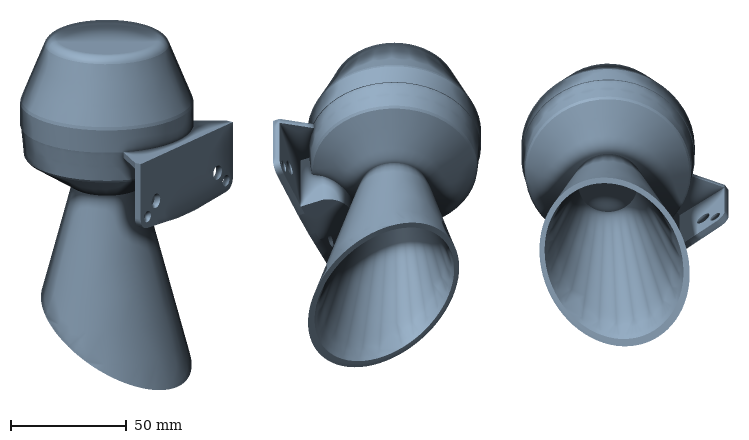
import cadquery as cq
import math

height = 152.1
rim_radius = 75.0 / 2

cap_flat_radius = 22.2
cap_shoulder_radius = 26.9
cap_shoulder_z = 149.2
cap_base_radius = 37.1
cap_base_z = 124.0
rim_top_z = 122.6
rim_bottom_z = 112.4

bowl_top_radius = 74.4 / 2
bowl_bottom_radius = 35.9
bowl_bottom_z = 99.0
funnel_top_radius = 35.1
funnel_top_z = 98.0
neck_radius = 15.2
neck_z = 85.0

horn_tip_radius = 37.7
horn_wall = 2.5
mouth_angle = 30.0

bracket_back_x = 80.0 - rim_radius
plate_thickness = 3.0
plate_front_x = bracket_back_x - plate_thickness
plate_half_width = 34.0
bracket_bottom_z = 80.0
plate_bottom_half_width = 6.1
plate_corner_z = 82.3
plate_corner_radius = 5.0
flange_thickness = 2.6
flange_inner_x = 15.2
flange_inner_half_width = 17.3

outer_hole_diameter = 5.0
outer_hole_y = 29.0
outer_hole_z = 87.0
inner_hole_diameter = 6.4
inner_hole_y = 22.8
inner_hole_z = 92.5

post_radius = 21.0 / 2
post_nose_x = 20.4
post_flat_x = 29.4


def make_housing():
    """Revolve the cap, rim, bowl and funnel as one solid."""
    return (
        cq.Workplane("XZ")
        .moveTo(0, height)
        .lineTo(cap_flat_radius, height)
        .tangentArcPoint((cap_shoulder_radius, cap_shoulder_z), relative=False)
        .lineTo(cap_base_radius, cap_base_z)
        .lineTo(rim_radius, rim_top_z)
        .lineTo(rim_radius, rim_bottom_z)
        .lineTo(bowl_top_radius, rim_bottom_z)
        .lineTo(bowl_bottom_radius, bowl_bottom_z)
        .lineTo(funnel_top_radius, funnel_top_z)
        .lineTo(neck_radius, neck_z)
        .lineTo(0, neck_z)
        .close()
        .revolve(360, (0, 0, 0), (0, 1, 0))
    )


def make_cone(wall_offset):
    """Solid cone from the neck to Z = 0, reduced in radius by wall_offset."""
    return (
        cq.Workplane("XZ")
        .moveTo(0, neck_z)
        .lineTo(neck_radius - wall_offset, neck_z)
        .lineTo(horn_tip_radius - wall_offset, 0)
        .lineTo(0, 0)
        .close()
        .revolve(360, (0, 0, 0), (0, 1, 0))
    )


def make_horn():
    """Hollow cone whose mouth slopes down to the tip on the +X side."""
    cut_width = 2 * horn_tip_radius
    cut_height = cut_width * math.tan(math.radians(mouth_angle))
    mouth_cut = (
        cq.Workplane("XZ")
        .polyline([
            (horn_tip_radius, 0),
            (-horn_tip_radius, cut_height),
            (-horn_tip_radius, 0),
        ])
        .close()
        .extrude(horn_tip_radius, both=True)
    )
    return make_cone(0).cut(make_cone(horn_wall)).cut(mouth_cut)


def make_plate():
    """Upright mounting plate with rounded lower corners and four holes."""
    plate = (
        cq.Workplane("YZ", origin=(plate_front_x, 0, 0))
        .polyline([
            (-plate_half_width, rim_bottom_z),
            (plate_half_width, rim_bottom_z),
            (plate_half_width, plate_corner_z),
            (plate_bottom_half_width, bracket_bottom_z),
            (-plate_bottom_half_width, bracket_bottom_z),
            (-plate_half_width, plate_corner_z),
        ])
        .close()
        .extrude(plate_thickness)
    )
    lower_corners = cq.selectors.BoxSelector(
        (plate_front_x, -plate_half_width - 1.5, bracket_bottom_z),
        (bracket_back_x, plate_half_width + 1.5, outer_hole_z),
    )
    side_corners = plate.edges("|X").edges(lower_corners).edges("<Y or >Y")
    plate = side_corners.fillet(plate_corner_radius)
    for diameter, y, z in (
        (outer_hole_diameter, outer_hole_y, outer_hole_z),
        (inner_hole_diameter, inner_hole_y, inner_hole_z),
    ):
        holes = (
            cq.Workplane("YZ", origin=(plate_front_x, 0, 0))
            .pushPoints([(-y, z), (y, z)])
            .circle(diameter / 2)
            .extrude(plate_thickness)
        )
        plate = plate.cut(holes)
    return plate


def make_flange():
    """Horizontal flange tapering from the plate into the housing."""
    return (
        cq.Workplane("XY", origin=(0, 0, rim_bottom_z - flange_thickness))
        .polyline([
            (flange_inner_x, -flange_inner_half_width),
            (plate_front_x, -plate_half_width),
            (plate_front_x, plate_half_width),
            (flange_inner_x, flange_inner_half_width),
        ])
        .close()
        .extrude(flange_thickness)
    )


def make_post():
    """Vertical post with a round nose and flat sides running to the plate."""
    nose_center_x = post_nose_x + post_radius
    post_half_width = math.sqrt(post_radius**2 - (nose_center_x - post_flat_x) ** 2)
    return (
        cq.Workplane("XY", origin=(0, 0, bracket_bottom_z))
        .moveTo(plate_front_x, -post_half_width)
        .lineTo(post_flat_x, -post_half_width)
        .threePointArc((post_nose_x, 0), (post_flat_x, post_half_width))
        .lineTo(plate_front_x, post_half_width)
        .close()
        .extrude(rim_bottom_z - bracket_bottom_z)
    )


result = (
    make_housing()
    .union(make_horn())
    .union(make_plate())
    .union(make_flange())
    .union(make_post())
)